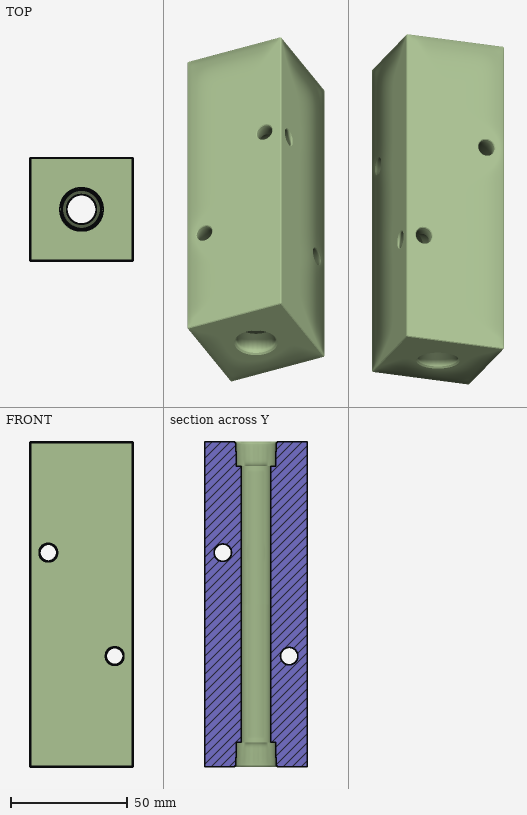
import cadquery as cq

width = 44.4
height = 139.7
edge_chamfer = 0.35

bore_diameter = 12.6
port_mouth_diameter = 18.6
port_diameter = 17.2
port_depth = 10.5
port_taper = 1 / 16

cross_diameter = 7.3
cross_mouth_diameter = 8.0
cross_offset = 14.2
cross_height = 22.2


def chamfered_hole(plane, diameter, mouth_diameter, length):
    """Cylinder centred on the plane, flared at 45 degrees at both ends."""
    radius = diameter / 2
    mouth_radius = mouth_diameter / 2
    half_length = length / 2
    flare_start = half_length - (mouth_radius - radius)
    return (
        cq.Workplane(plane)
        .moveTo(0, -half_length)
        .lineTo(mouth_radius, -half_length)
        .lineTo(radius, -flare_start)
        .lineTo(radius, flare_start)
        .lineTo(mouth_radius, half_length)
        .lineTo(0, half_length)
        .close()
        .revolve(360, (0, 0), (0, 1))
    )


def axial_passage():
    """Straight bore opening into a flared, tapered port at each end."""
    bore_radius = bore_diameter / 2
    port_radius = port_diameter / 2
    port_mouth_radius = port_mouth_diameter / 2
    top = height / 2
    flare_depth = port_mouth_radius - port_radius
    floor_radius = port_radius - port_taper / 2 * (port_depth - flare_depth)
    upper_half = (
        cq.Workplane("XZ")
        .lineTo(bore_radius, 0)
        .lineTo(bore_radius, top - port_depth)
        .lineTo(floor_radius, top - port_depth)
        .lineTo(port_radius, top - flare_depth)
        .lineTo(port_mouth_radius, top)
        .lineTo(0, top)
        .close()
        .revolve(360, (0, 0), (0, 1))
    )
    return upper_half.union(upper_half.mirror("XY"))


block = cq.Workplane("XY").box(width, width, height)
block = block.edges().chamfer(edge_chamfer)
result = block.cut(axial_passage())

cross_along_x = chamfered_hole("YX", cross_diameter, cross_mouth_diameter, width)
cross_along_y = chamfered_hole("XY", cross_diameter, cross_mouth_diameter, width)
for side in (1, -1):
    result = result.cut(cross_along_x.translate((0, side * cross_offset, side * cross_height)))
    result = result.cut(cross_along_y.translate((-side * cross_offset, 0, side * cross_height)))